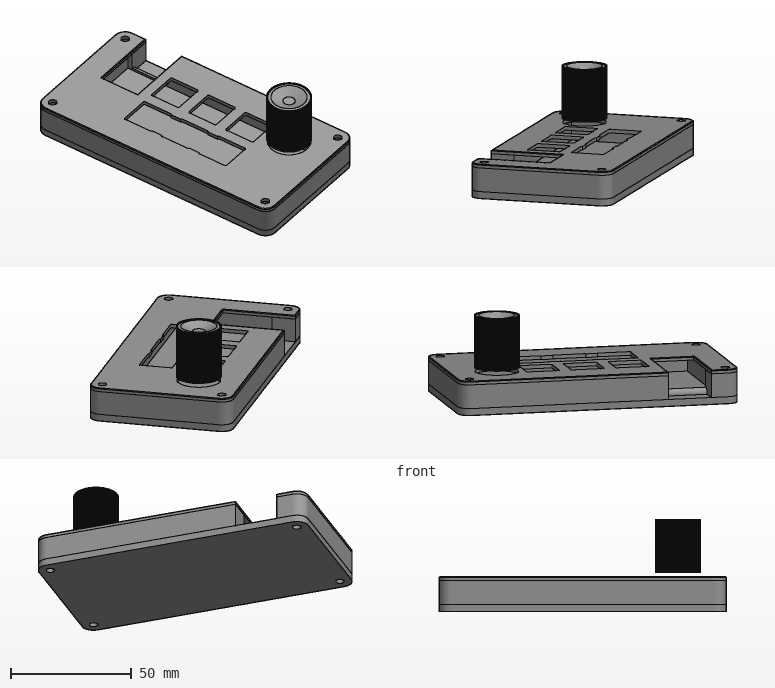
import cadquery as cq
import math

case_length = 119.0
case_width = 61.0
corner_radius = 5.0
wall = 9.9

base_height = 3.0
frame_height = 10.0
plate_height = 1.5
frame_top = base_height + frame_height
plate_chamfer = 0.4

board_height = 1.4
cavity_length = case_length - 2 * wall
cavity_width = case_width - 2 * wall

screw_hole_diameter = 3.5
screw_spacing_x = case_length - 2 * corner_radius
screw_spacing_y = case_width - 2 * corner_radius

notch_center_x = -38.3
notch_width = 18.2
notch_front_y = -0.5

sill_depth = 2.5
sill_height = 2.5
sill_radius = 2.3

key_size = 14.0
key_pitch = 19.0
key_corner_radius = 0.5
keys_per_row = 3
keys_center_x = 1.8
keys_center_y = -0.18
key_row_y = keys_center_y + key_pitch / 2
slot_row_y = keys_center_y - key_pitch / 2
slot_bridge_width = 13.1

knob_x = 39.5
knob_y = 11.8
knob_bottom = 16.3
knob_top = 38.2
knob_height = knob_top - knob_bottom
knob_tip_diameter = 18.7
knob_root_diameter = 17.7
knob_ribs = 80
knob_hole_diameter = 18.0
dish_top_diameter = 15.0
dish_bottom_diameter = 5.1
dish_depth = 2.0


def case_layer(bottom, height):
    """Rounded slab with the case outline and the four screw holes."""
    slab = (
        cq.Workplane("XY", origin=(0, 0, bottom))
        .rect(case_length, case_width)
        .extrude(height)
        .edges("|Z")
        .fillet(corner_radius)
    )
    screw_holes = (
        cq.Workplane("XY", origin=(0, 0, bottom))
        .rect(screw_spacing_x, screw_spacing_y, forConstruction=True)
        .vertices()
        .circle(screw_hole_diameter / 2)
        .extrude(height)
    )
    return slab.cut(screw_holes)


def block(center_x, front_y, back_y, width, bottom, height):
    """Box that spans front_y to back_y and is centred on center_x."""
    return (
        cq.Workplane("XY", origin=(center_x, (front_y + back_y) / 2, bottom))
        .rect(width, back_y - front_y)
        .extrude(height)
    )


def cavity_block(height):
    """Box that fills the frame cavity from the base up."""
    return block(0, -cavity_width / 2, cavity_width / 2, cavity_length, base_height, height)


def make_frame():
    """Wall ring with a notch in its back wall and a rounded sill across the notch."""
    back_y = case_width / 2
    inner_y = cavity_width / 2
    notch = block(notch_center_x, inner_y, back_y, notch_width, base_height, frame_height)
    sill = (
        cq.Workplane("YZ", origin=(notch_center_x - notch_width / 2, 0, base_height))
        .moveTo(inner_y, 0)
        .lineTo(inner_y + sill_depth, 0)
        .lineTo(inner_y + sill_depth, sill_height - sill_radius)
        .radiusArc((inner_y + sill_depth - sill_radius, sill_height), -sill_radius)
        .lineTo(inner_y, sill_height)
        .close()
        .extrude(notch_width)
    )
    ring = case_layer(base_height, frame_height).cut(cavity_block(frame_height))
    return ring.cut(notch.cut(sill))


def key_opening(x, y):
    """Cutter for one square key opening with rounded corners."""
    return (
        cq.Workplane("XY", origin=(x, y, frame_top))
        .rect(key_size, key_size)
        .extrude(plate_height)
        .edges("|Z")
        .fillet(key_corner_radius)
    )


def make_top_plate():
    """Plate with a chamfered rim, a notch, the key openings and the knob opening."""
    notch = block(notch_center_x, notch_front_y, case_width / 2, notch_width, frame_top, plate_height)
    plate = case_layer(frame_top, plate_height).cut(notch)
    rim = plate.faces(">Z").val().outerWire().Edges()
    plate = cq.Workplane(plate.val().chamfer(plate_chamfer, None, rim))

    for column in range(keys_per_row):
        x = keys_center_x + (column - (keys_per_row - 1) / 2) * key_pitch
        plate = plate.cut(key_opening(x, key_row_y)).cut(key_opening(x, slot_row_y))

    bridge = (
        cq.Workplane("XY", origin=(keys_center_x, slot_row_y, frame_top))
        .rect((keys_per_row - 1) * key_pitch, slot_bridge_width)
        .extrude(plate_height)
    )
    knob_hole = (
        cq.Workplane("XY", origin=(knob_x, knob_y, frame_top))
        .circle(knob_hole_diameter / 2)
        .extrude(plate_height)
    )
    return plate.cut(bridge).cut(knob_hole)


def polar_point(radius, angle):
    """X and Y of a point at a radius and an angle in radians."""
    return (radius * math.cos(angle), radius * math.sin(angle))


def make_knob():
    """Cylinder with straight knurled ribs and a conical dish in its top."""
    rib_pitch = 2 * math.pi / knob_ribs
    half_rib = rib_pitch / 4
    tip_radius = knob_tip_diameter / 2
    root_radius = knob_root_diameter / 2
    outline = []
    for rib in range(knob_ribs):
        start = rib * rib_pitch - half_rib
        end = rib * rib_pitch + half_rib
        outline.append(polar_point(root_radius, start))
        outline.append(polar_point(tip_radius, start))
        outline.append(polar_point(tip_radius, end))
        outline.append(polar_point(root_radius, end))
    body = (
        cq.Workplane("XY", origin=(knob_x, knob_y, knob_bottom))
        .polyline(outline)
        .close()
        .extrude(knob_height)
    )
    dish = (
        cq.Workplane("XY", origin=(knob_x, knob_y, knob_top))
        .circle(dish_top_diameter / 2)
        .workplane(offset=-dish_depth)
        .circle(dish_bottom_diameter / 2)
        .loft(ruled=True)
    )
    return body.cut(dish)


base = case_layer(0, base_height)
board = cavity_block(board_height)
frame = make_frame()
top_plate = make_top_plate()
knob = make_knob()

result = cq.Compound.makeCompound(
    [base.val(), board.val(), frame.val(), top_plate.val(), knob.val()]
)